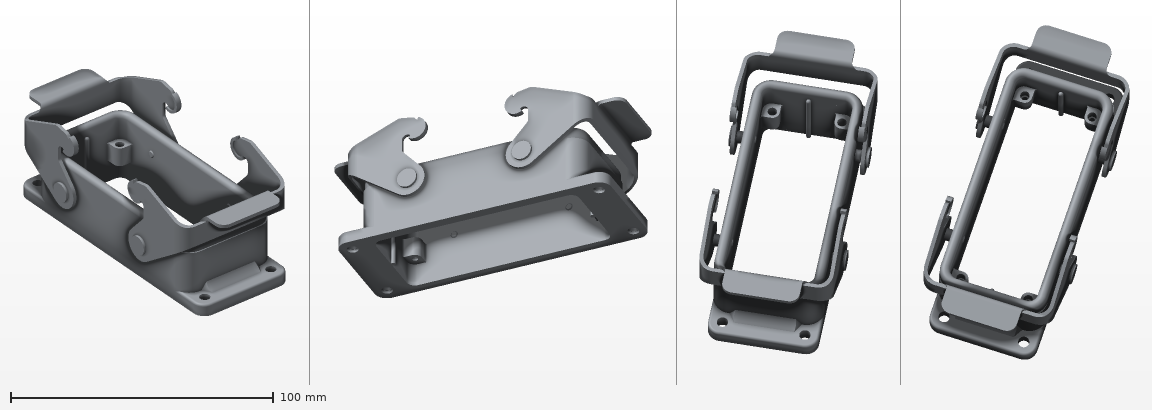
import cadquery as cq
import math


body_half_length = 47.0
half_width = 21.5
body_corner_radius = 7.0
wall = 4.1
flange_half_length = 56.8
flange_corner_radius = 5.1
flange_top = 5.2
flange_edge_radius = 1.0
flange_hole_diameter = 4.3
flange_hole_x = 51.5
flange_hole_y = 16.0

foot_thickness = 1.25
foot_hole_diameter = 4.5
rim_half_length = 46.5
rim_corner_radius = 7.5
rim_bottom = 23.1
rim_top = 28.8
rim_round = wall / 2
cord_diameter = 1.9
cord_x = 41.7
cord_top = 23.6

opening_half_length = rim_half_length - wall
opening_half_width = half_width - wall
opening_corner_radius = rim_corner_radius - wall

fairing_top = 8.2
fairing_foot_x = 50.9
fairing_sag = 0.3
fairing_ridge_half = 11.7
fairing_base_half = 14.0

lug_x = 38.7
lug_y = 13.5
lug_round = 2.85
lug_root_radius = 0.8
lug_top = 17.5
lug_height = 8.0
screw_diameter = 2.5
screw_mouth_diameter = 3.6
screw_mouth_depth = 5.0

pivot_x = 24.0
pivot_z = 18.9
head_diameter = 8.0
head_thickness = 1.1
shank_diameter = 4.8
tail_diameter = 3.0
tail_protrusion = 0.35
tail_edge = 0.4

sheet = 1.5
lever_half_width = 26.0
lever_end_x = -51.1
lever_bend_radius = 6.0
eye_radius = 7.0
lower_slope = math.radians(35.2)
shoulder = (-49.6, 38.5)
apex = (-27.6, 47.19)
apex_radius = 3.0
brow = (-21.4, 46.1)
brow_radius = 2.0
throat_x = -26.4
throat_radius = 2.1
throat_center_z = 36.9
heel = (throat_x, 32.0)
heel_radius = 2.0
hook_center = (-21.2, 41.35)
hook_radius = 4.7
lip_inner_radius = 3.4
lip_depth = 2.25
lip_start = math.radians(70)
lip_end = math.radians(238)

tab_tip_x = -60.9
tab_top = 41.0
tab_half_width = 15.0
tab_corner_radius = 4.0
tab_bend_radius = 2.3
tab_flare = 2.0

RIGHT_AND_LEFT = (1, -1)


def rounded_block(half_length, half_breadth, radius, bottom, top):
    """Upright rectangular block, centred on the Z axis, with rounded vertical edges."""
    block = cq.Workplane("XY").workplane(offset=bottom).rect(2 * half_length, 2 * half_breadth)
    return block.extrude(top - bottom).edges("|Z").fillet(radius)


def corner_points(x, y):
    return [(sx * x, sy * y) for sx in RIGHT_AND_LEFT for sy in RIGHT_AND_LEFT]


def opening(bottom, top):
    return rounded_block(opening_half_length, opening_half_width, opening_corner_radius, bottom, top)


def cord(side):
    """Round-ended cord standing against the middle of an end wall."""
    radius = cord_diameter / 2
    post = cq.Workplane("XY").center(side * cord_x, 0).circle(radius).extrude(cord_top)
    dome = cq.Workplane("XY").sphere(radius).translate((side * cord_x, 0, cord_top))
    return post.union(dome)


def make_rim():
    """Sealing rim with a fully rounded top, swept around the opening."""
    path = (
        cq.Workplane("XY")
        .rect(2 * (rim_half_length - rim_round), 2 * (half_width - rim_round))
        .extrude(rim_bottom)
        .edges("|Z")
        .fillet(rim_corner_radius - rim_round)
        .faces(">Z")
        .wires()
    )
    crown_z = rim_top - rim_round
    section = (
        cq.Workplane("XZ")
        .moveTo(rim_half_length - wall, rim_bottom)
        .lineTo(rim_half_length - wall, crown_z)
        .threePointArc((rim_half_length - rim_round, rim_top), (rim_half_length, crown_z))
        .lineTo(rim_half_length, rim_bottom)
        .close()
    )
    return section.sweep(path)


def make_gasket():
    foot = rounded_block(flange_half_length, half_width, flange_corner_radius, 0, foot_thickness)
    foot = foot.cut(
        cq.Workplane("XY")
        .pushPoints(corner_points(flange_hole_x, flange_hole_y))
        .circle(foot_hole_diameter / 2)
        .extrude(foot_thickness)
    )
    foot = foot.cut(opening(0, foot_thickness))

    gasket = foot.union(make_rim())
    for side in RIGHT_AND_LEFT:
        gasket = gasket.union(cord(side))
    return gasket


def fairing(side):
    """Concave fillet between flange and end wall, with a sloping facet at either end."""
    foot = (-fairing_foot_x, flange_top)
    ridge = (-body_half_length, fairing_top)
    run = ridge[0] - foot[0]
    rise = ridge[1] - foot[1]
    inside_x = -body_half_length + wall / 2
    floor = flange_top - flange_edge_radius
    shape = (
        cq.Workplane("XZ")
        .moveTo(*foot)
        .sagittaArc(ridge, -fairing_sag)
        .lineTo(inside_x, fairing_top)
        .lineTo(inside_x, floor)
        .lineTo(foot[0], floor)
        .close()
        .extrude(fairing_base_half, both=True)
    )
    spread = fairing_base_half - fairing_ridge_half
    along_edge = cq.Vector(run, 0, rise)
    across_facet = cq.Vector(run, spread, 0)
    facet = cq.Plane(
        origin=(foot[0], fairing_ridge_half, foot[1]),
        xDir=along_edge,
        normal=across_facet.cross(along_edge) * -1,
    )
    waste = cq.Workplane(facet).rect(40, 40).extrude(10)
    above = cq.Workplane("XY").workplane(offset=flange_top).rect(200, 200).extrude(20)
    waste = waste.intersect(above)
    shape = shape.cut(waste).cut(waste.mirror("XZ"))
    return shape if side < 0 else shape.mirror("YZ")


def make_lug():
    """Screw lug filling one inner corner, with filleted roots against both walls."""
    inner_x = lug_x - lug_round
    inner_y = lug_y - lug_round
    outer_x = opening_half_length + wall / 2
    outer_y = opening_half_width + wall / 2
    block = (
        cq.Workplane("XY")
        .moveTo(outer_x, outer_y)
        .lineTo(inner_x - lug_root_radius, outer_y)
        .lineTo(inner_x - lug_root_radius, opening_half_width)
        .radiusArc((inner_x, opening_half_width - lug_root_radius), lug_root_radius)
        .lineTo(inner_x, lug_y)
        .radiusArc((lug_x, inner_y), -lug_round)
        .lineTo(opening_half_length - lug_root_radius, inner_y)
        .radiusArc((opening_half_length, inner_y - lug_root_radius), lug_root_radius)
        .lineTo(outer_x, inner_y - lug_root_radius)
        .close()
        .extrude(lug_height)
    )
    bore = cq.Workplane("XY").center(lug_x, lug_y).circle(screw_diameter / 2).extrude(lug_height)
    mouth = (
        cq.Workplane("XY")
        .workplane(offset=lug_height - screw_mouth_depth)
        .center(lug_x, lug_y)
        .circle(screw_mouth_diameter / 2)
        .extrude(screw_mouth_depth)
    )
    return block.cut(bore).cut(mouth).translate((0, 0, lug_top - lug_height))


def make_housing():
    flange = rounded_block(flange_half_length, half_width, flange_corner_radius, foot_thickness, flange_top)
    flange = flange.faces(">Z").edges().fillet(flange_edge_radius)
    body = rounded_block(body_half_length, half_width, body_corner_radius, foot_thickness, rim_bottom)
    housing = flange.union(body)
    for side in RIGHT_AND_LEFT:
        housing = housing.union(fairing(side))
    housing = housing.cut(opening(0, rim_bottom))

    corner_lug = make_lug()
    end_lugs = corner_lug.union(corner_lug.mirror("XZ"))
    housing = housing.union(end_lugs).union(end_lugs.mirror("YZ"))

    housing = housing.cut(
        cq.Workplane("XY")
        .pushPoints(corner_points(flange_hole_x, flange_hole_y))
        .circle(flange_hole_diameter / 2)
        .extrude(flange_top)
    )
    housing = housing.cut(
        cq.Workplane("XZ")
        .pushPoints([(pivot_x, pivot_z), (-pivot_x, pivot_z)])
        .circle(tail_diameter / 2)
        .extrude(half_width, both=True)
    )
    for side in RIGHT_AND_LEFT:
        housing = housing.cut(cord(side))
    return housing


def make_rivet(x, side):
    """Rivet through the lever and the side wall, with its head outside."""
    tail_y = opening_half_width - tail_protrusion
    head_y = lever_half_width + head_thickness
    tail_radius = tail_diameter / 2
    shank_radius = shank_diameter / 2
    head_radius = head_diameter / 2
    half_section = [
        (0, tail_y),
        (tail_radius - tail_edge, tail_y),
        (tail_radius, opening_half_width),
        (tail_radius, half_width),
        (shank_radius, half_width),
        (shank_radius, lever_half_width),
        (head_radius, lever_half_width),
        (head_radius, head_y),
        (0, head_y),
    ]
    rivet = cq.Workplane("XY").polyline(half_section).close().revolve(360, (0, 0, 0), (0, 1, 0))
    if side < 0:
        rivet = rivet.mirror("XZ")
    return rivet.translate((x, 0, pivot_z))


def on_circle(center, radius, angle):
    return (center[0] + radius * math.cos(angle), center[1] + radius * math.sin(angle))


def lever_profile():
    """Side outline of the lever, filled across its whole width and rounded at its free corners."""
    eye = (-pivot_x, pivot_z)
    lower_tangent = on_circle(eye, eye_radius, math.radians(270) - lower_slope)
    end_bottom = lower_tangent[1] + (lower_tangent[0] - lever_end_x) * math.tan(lower_slope)

    heel_dx = heel[0] - eye[0]
    heel_dz = heel[1] - eye[1]
    heel_angle = math.atan2(heel_dz, heel_dx) - math.acos(eye_radius / math.hypot(heel_dx, heel_dz))
    upper_tangent = on_circle(eye, eye_radius, heel_angle)
    eye_right = on_circle(eye, eye_radius, 0)

    throat_center = (throat_x + throat_radius, throat_center_z)
    throat_top = on_circle(throat_center, throat_radius, math.radians(90))
    profile = (
        cq.Workplane("XZ")
        .moveTo(lever_end_x, shoulder[1])
        .lineTo(lever_end_x, end_bottom)
        .lineTo(*lower_tangent)
        .threePointArc(eye_right, upper_tangent)
        .lineTo(*heel)
        .lineTo(throat_x, throat_center_z)
        .threePointArc(throat_top, on_circle(hook_center, lip_inner_radius, lip_end))
        .lineTo(*on_circle(hook_center, hook_radius, lip_end))
        .threePointArc(
            on_circle(hook_center, hook_radius, 0),
            on_circle(hook_center, hook_radius, lip_start),
        )
        .lineTo(*on_circle(hook_center, lip_inner_radius, lip_start))
        .lineTo(*brow)
        .lineTo(*apex)
        .lineTo(*shoulder)
        .close()
        .extrude(lever_half_width, both=True)
    )
    for point, radius in ((apex, apex_radius), (brow, brow_radius), (heel, heel_radius)):
        edge = cq.selectors.NearestToPointSelector((point[0], 0, point[1]))
        profile = profile.edges("|Y").edges(edge).fillet(radius)
    return profile


def lever_strip():
    """Bent sheet strip, U-shaped in plan, tall enough for the whole side outline."""
    def filled_u(inset, radius):
        closed_end = lever_end_x + inset
        breadth = 2 * (lever_half_width - inset)
        block = cq.Workplane("XY").rect(-lever_end_x - inset, breadth).extrude(apex[1])
        return block.edges("|Z and <X").fillet(radius).translate((closed_end / 2, 0, 0))

    return filled_u(0, lever_bend_radius).cut(filled_u(sheet, lever_bend_radius - sheet))


def lever_tab():
    """Finger tab bent outward from the top of the lever's closed end."""
    inner_x = lever_end_x + sheet
    inner_radius = tab_bend_radius - sheet
    bend_x = inner_x - tab_bend_radius
    bend_z = tab_top - tab_bend_radius
    bend_angle = math.radians(45)
    side_view = (
        cq.Workplane("XZ")
        .moveTo(tab_tip_x, tab_top)
        .lineTo(bend_x, tab_top)
        .threePointArc(on_circle((bend_x, bend_z), tab_bend_radius, bend_angle), (inner_x, bend_z))
        .lineTo(inner_x, shoulder[1])
        .lineTo(lever_end_x, shoulder[1])
        .lineTo(lever_end_x, bend_z)
        .threePointArc(
            on_circle((bend_x, bend_z), inner_radius, bend_angle),
            (bend_x, tab_top - sheet),
        )
        .lineTo(tab_tip_x, tab_top - sheet)
        .close()
        .extrude(lever_half_width, both=True)
    )
    corner_x = tab_tip_x + tab_corner_radius
    corner_y = tab_half_width - tab_corner_radius
    root_y = tab_half_width + tab_flare
    flare_x = inner_x - tab_flare
    plan = (
        cq.Workplane("XY")
        .moveTo(tab_tip_x, -corner_y)
        .lineTo(tab_tip_x, corner_y)
        .radiusArc((corner_x, tab_half_width), tab_corner_radius)
        .lineTo(flare_x, tab_half_width)
        .radiusArc((inner_x, root_y), -tab_flare)
        .lineTo(inner_x, -root_y)
        .radiusArc((flare_x, -tab_half_width), -tab_flare)
        .lineTo(corner_x, -tab_half_width)
        .radiusArc((tab_tip_x, -corner_y), tab_corner_radius)
        .close()
        .extrude(tab_top)
    )
    return side_view.intersect(plan)


def hook_lip(profile):
    """C-shaped lip turned inward around the hook, on the +Y arm."""
    lip_middle = (lip_end + lip_start) / 2 - math.pi
    reach = 2 * hook_radius
    sector = (
        cq.Workplane("XZ")
        .moveTo(*on_circle(hook_center, lip_inner_radius, lip_start))
        .lineTo(*on_circle(hook_center, reach, lip_start))
        .threePointArc(
            on_circle(hook_center, reach, lip_middle),
            on_circle(hook_center, reach, lip_end),
        )
        .lineTo(*on_circle(hook_center, lip_inner_radius, lip_end))
        .threePointArc(
            on_circle(hook_center, lip_inner_radius, lip_middle),
            on_circle(hook_center, lip_inner_radius, lip_start),
        )
        .close()
        .extrude(lip_depth)
        .translate((0, lever_half_width, 0))
    )
    return sector.intersect(profile)


def make_lever():
    profile = lever_profile()
    lever = lever_strip().intersect(profile).union(lever_tab())
    lip = hook_lip(profile)
    lever = lever.union(lip).union(lip.mirror("XZ"))
    pivot_hole = (
        cq.Workplane("XZ")
        .center(-pivot_x, pivot_z)
        .circle(shank_diameter / 2)
        .extrude(lever_half_width, both=True)
    )
    return lever.cut(pivot_hole)


housing = make_housing()
gasket = make_gasket()
left_lever = make_lever()
levers = [left_lever, left_lever.mirror("YZ")]
rivets = [make_rivet(x, side) for x, side in corner_points(pivot_x, 1)]

bodies = [housing, gasket, *levers, *rivets]
result = cq.Compound.makeCompound([body.val() for body in bodies])